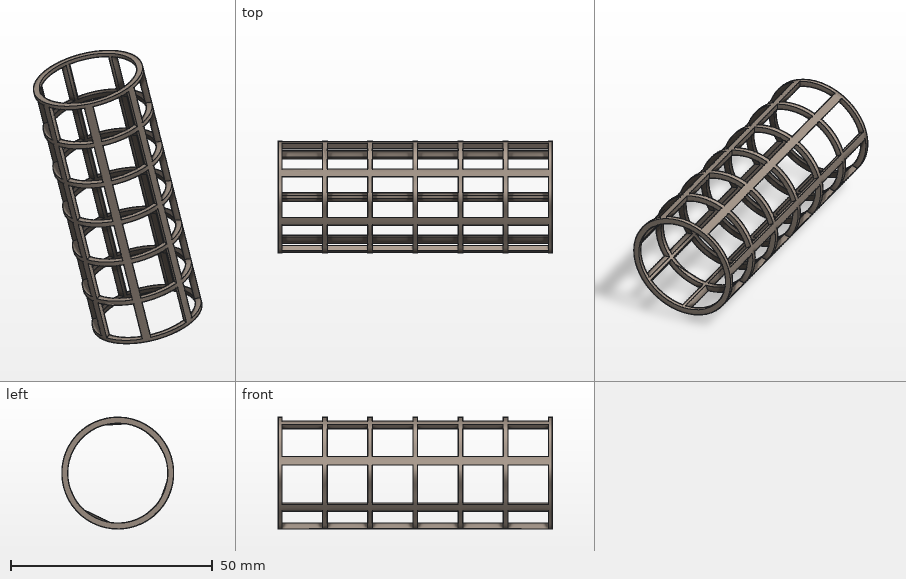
import cadquery as cq

outer_diameter = 27.75
wall = 1.5
window_size = 10.0
row_count = 7
windows_per_row = 6
inner_ring_width = 1.2
end_ring_width = 1.0

outer_radius = outer_diameter / 2
inner_radius = outer_radius - wall
row_angle = 360 / row_count
window_pitch = window_size + inner_ring_width
length = (
    windows_per_row * window_size
    + (windows_per_row - 1) * inner_ring_width
    + 2 * end_ring_width
)


def tube():
    """Plain tube along X, centred on the origin."""
    return (
        cq.Workplane("YZ", origin=(-length / 2, 0, 0))
        .circle(outer_radius)
        .circle(inner_radius)
        .extrude(length)
    )


def window_row():
    """One row of square cutters reaching from the tube axis out past the top."""
    return (
        cq.Workplane("XY")
        .rarray(window_pitch, 1, windows_per_row, 1)
        .rect(window_size, window_size)
        .extrude(outer_diameter)
    )


cage = tube()
top_row = window_row()
for row in range(row_count):
    cage = cage.cut(top_row.rotate((0, 0, 0), (1, 0, 0), row * row_angle))

result = cage